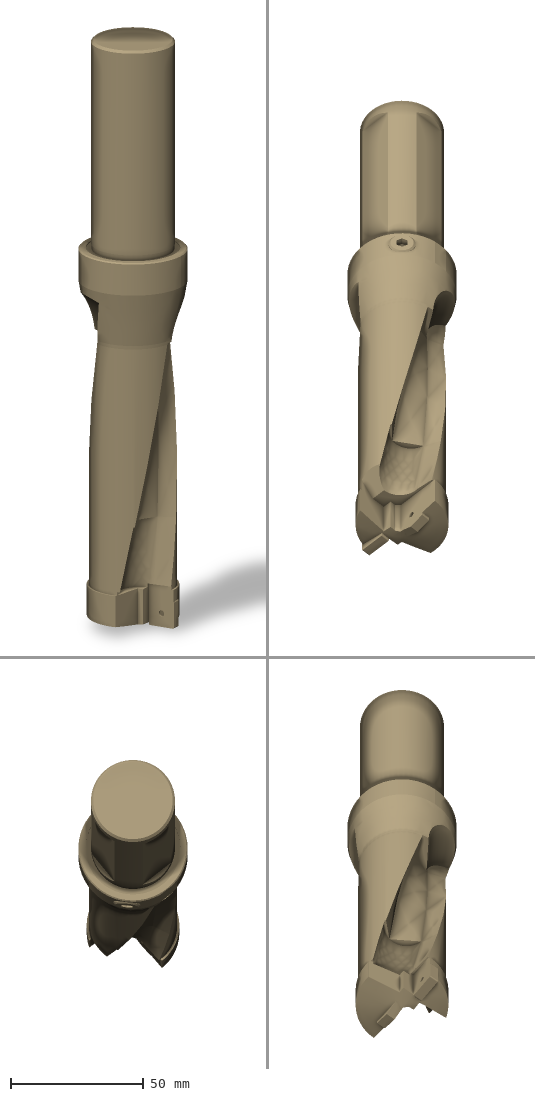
import cadquery as cq
import math


total_length = 232.0
shank_diameter = 31.8
shank_chamfer = 1.0
undercut_diameter = 31.3
undercut_height = 1.6
shank_flat_distance = 14.5
shank_flat_bottom = 156.0
shank_flat_top = 225.3

collar_diameter = 41.3
collar_top = 149.6
collar_bottom = 136.9
collar_chamfer = 0.5
collar_recess_diameter = 35.7
collar_recess_depth = 0.5
collar_flat_depth = 0.2
cone_bottom = 115.8
cone_bottom_diameter = 33.6

body_diameter = 33.5
body_top = 114.4
head_diameter = 35.0
head_top = 16.7
head_rim = 4.5
head_apex = 1.5

flute_count = 2
flute_spacing = 360.0 / flute_count
twist_rate = 0.6897
wall_edge_angle = 245.0
wall_corner_angle = 239.7
wall_corner_radius = 9.7
floor_corner_angle = 158.6
floor_corner_radius = 8.8
floor_middle_radius = 7.0
side_edge_angle = 170.0
wall_reach = 3.2
side_reach = 1.3
milled_reach = 1.1
milled_flute_top = 44.0
flute_runout_top = 139.2
runout_radius = 21.3
runout_angle = 236.0
runout_start = 114.8
runout_floor_radius = 9.3

outer_pocket_top = 18.0
outer_pocket_mouth_x = 2.0
outer_pocket_mouth_y = -17.2
outer_pocket_ledge_x = 4.6
outer_pocket_ledge_y = -4.6
centre_pocket_web_x = 2.0
centre_pocket_bevel_y = 1.6
centre_pocket_web_y = 4.0
centre_pocket_back_x = 5.8
centre_pocket_slope_y = 9.7

insert_thickness = 3.7
outer_insert_left = 7.0
outer_insert_right = 17.6
outer_insert_bottom = 1.5
outer_insert_top = 12.0
outer_insert_corner_radius = 0.5
centre_insert_left = -10.7
centre_insert_right = 0.7
centre_insert_tip_x = -4.6
centre_insert_shoulder = 1.9
centre_insert_top = 11.4
screw_head_diameter = 4.5
screw_shank_diameter = 3.0
screw_head_height = 1.5
screw_socket_diameter = 2.3
screw_socket_depth = 1.0
screw_length = 8.4

plug_angle = 135.0
plug_diameter = 10.2
plug_outer_distance = 21.0
plug_depth = 5.8
plug_chamfer = 0.7
plug_socket_size = 4.2
plug_socket_depth = 2.8

clear = 46.5
outer_insert_middle = (
    (outer_insert_left + outer_insert_right) / 2,
    (outer_insert_bottom + outer_insert_top) / 2,
)
centre_insert_middle = (
    (centre_insert_left + centre_insert_right) / 2,
    (centre_insert_shoulder + centre_insert_top) / 2,
)


def polar(radius, angle):
    """Plan point at a radius and an angle in degrees."""
    return (radius * math.cos(math.radians(angle)), radius * math.sin(math.radians(angle)))


def stretched(start, end, factor):
    """Point on the line from start through end, at a multiple of their distance."""
    return tuple(a + factor * (b - a) for a, b in zip(start, end))


def prism_along_y(points, y_start, y_end):
    """Prism of an X-Z outline between two Y positions."""
    outline = cq.Workplane("XZ", origin=(0, y_start, 0)).polyline(points).close()
    return outline.extrude(y_start - y_end)


def turned_blank():
    shank_r = shank_diameter / 2
    undercut_r = undercut_diameter / 2
    recess_r = collar_recess_diameter / 2
    collar_r = collar_diameter / 2
    head_r = head_diameter / 2
    body_r = body_diameter / 2
    profile = [
        (0, head_apex),
        (head_r, head_rim),
        (head_r, head_top),
        (body_r, head_top),
        (body_r, body_top),
        (cone_bottom_diameter / 2, cone_bottom),
        (collar_r, collar_bottom),
        (collar_r, collar_top - collar_chamfer),
        (collar_r - collar_chamfer, collar_top),
        (recess_r, collar_top),
        (recess_r, collar_top - collar_recess_depth),
        (undercut_r, collar_top - collar_recess_depth),
        (undercut_r, collar_top + undercut_height),
        (shank_r, collar_top + undercut_height),
        (shank_r, total_length - shank_chamfer),
        (shank_r - shank_chamfer, total_length),
        (0, total_length),
    ]
    return cq.Workplane("XZ").polyline(profile).close().revolve(360, (0, 0, 0), (0, 1, 0))


def shank_flat(angle):
    depth = shank_diameter / 2 - shank_flat_distance
    outline = [
        (shank_flat_distance, shank_flat_bottom),
        (shank_flat_distance, shank_flat_top),
        (shank_flat_distance + 2 * depth, shank_flat_top + 2 * depth),
        (shank_flat_distance + 2 * depth, shank_flat_bottom - 2 * depth),
    ]
    return prism_along_y(outline, -shank_diameter / 2, shank_diameter / 2).rotate(
        (0, 0, 0), (0, 0, 1), angle
    )


def collar_flat():
    height = collar_top - collar_bottom
    flat_x = collar_flat_depth - collar_diameter / 2
    return (
        cq.Workplane("XY", origin=(flat_x - clear / 2, 0, collar_bottom))
        .box(clear, clear, height, centered=(True, True, False))
    )


wall_corner = polar(wall_corner_radius, wall_corner_angle)
floor_corner = polar(floor_corner_radius, floor_corner_angle)
wall_end = stretched(wall_corner, polar(body_diameter / 2, wall_edge_angle), wall_reach)
side_edge = polar(body_diameter / 2, side_edge_angle)
side_end = stretched(floor_corner, side_edge, side_reach)
milled_end = stretched(floor_corner, side_edge, milled_reach)
flute_outer_corner = polar(clear, (wall_edge_angle + side_edge_angle) / 2)


def helical_section(outline, bottom, top):
    """Flute outline, given at body_top, twisted along the drill between two heights."""
    height = top - bottom
    return (
        outline.twistExtrude(height, twist_rate * height)
        .rotate((0, 0, 0), (0, 0, 1), twist_rate * (bottom - body_top))
        .translate((0, 0, bottom))
    )


def milled_outline():
    """Wall and a single arc for floor and far side, closed outside the body."""
    outline = cq.Workplane("XY").moveTo(*wall_end).lineTo(*wall_corner)
    outline = outline.threePointArc(floor_corner, milled_end)
    return outline.lineTo(*flute_outer_corner).close()


def cornered_outline():
    """Wall, concave floor and flat far side, closed outside the body."""
    floor_middle = polar(floor_middle_radius, (wall_corner_angle + floor_corner_angle) / 2)
    outline = cq.Workplane("XY").moveTo(*wall_end).lineTo(*wall_corner)
    outline = outline.threePointArc(floor_middle, floor_corner)
    return outline.lineTo(*side_end).lineTo(*flute_outer_corner).close()


def flute_runout():
    """Round cutter that lifts the flute floor out through the cone."""
    return (
        cq.Workplane("XZ", origin=(0, clear, 0))
        .center(runout_floor_radius + runout_radius, runout_start)
        .circle(runout_radius)
        .extrude(2 * clear)
        .rotate((0, 0, 0), (0, 0, 1), runout_angle)
    )


def flute_cutters():
    milled = helical_section(milled_outline(), head_top, milled_flute_top)
    middle = helical_section(cornered_outline(), milled_flute_top, runout_start)
    upper = helical_section(cornered_outline(), runout_start, flute_runout_top)
    return milled, middle, upper.intersect(flute_runout())


def outer_pocket():
    outline = [
        (outer_pocket_mouth_x, -clear),
        (outer_pocket_mouth_x, outer_pocket_mouth_y),
        (outer_pocket_ledge_x, outer_pocket_ledge_y),
        (outer_insert_left, outer_pocket_ledge_y),
        (outer_insert_left, 0),
        (clear, 0),
        (clear, -clear),
    ]
    return cq.Workplane("XY").polyline(outline).close().extrude(outer_pocket_top)


def centre_pocket():
    web_outline = [
        (-clear, 0),
        (centre_insert_right, 0),
        (centre_pocket_web_x, centre_pocket_bevel_y),
        (centre_pocket_web_x, centre_pocket_web_y),
        (-clear, centre_pocket_web_y),
    ]
    web = cq.Workplane("XY").polyline(web_outline).close().extrude(head_top)
    rise = clear - centre_pocket_slope_y
    outline = [
        (centre_pocket_web_y, 0),
        (clear, 0),
        (clear, head_top + rise),
        (centre_pocket_slope_y, head_top),
        (centre_pocket_web_y, head_top),
    ]
    back = cq.Workplane("YZ", origin=(centre_pocket_back_x, 0, 0)).polyline(outline).close()
    return web.union(back.extrude(-clear))


def outer_insert_blank():
    outline = [
        (outer_insert_left, outer_insert_bottom),
        (outer_insert_right, outer_insert_bottom),
        (outer_insert_right, outer_insert_top),
        (outer_insert_left, outer_insert_top),
    ]
    return prism_along_y(outline, 0, insert_thickness).edges("|Y").fillet(outer_insert_corner_radius)


def centre_insert_blank():
    outline = [
        (centre_insert_left, centre_insert_shoulder),
        (centre_insert_tip_x, 0),
        (centre_insert_right, centre_insert_shoulder),
        (centre_insert_right, centre_insert_top),
        (centre_insert_left, centre_insert_top),
    ]
    return prism_along_y(outline, 0, -insert_thickness)


def screw_blank(middle, direction):
    """Countersunk screw with its head flush in the y = 0 plane, pointing along +Y or -Y."""
    x, z = middle
    head_r = screw_head_diameter / 2
    shank_r = screw_shank_diameter / 2
    profile = [
        (0, 0),
        (head_r, 0),
        (shank_r, direction * screw_head_height),
        (shank_r, direction * screw_length),
        (0, direction * screw_length),
    ]
    screw = cq.Workplane("XY").polyline(profile).close().revolve(360, (0, 0, 0), (0, 1, 0))
    return screw.translate((x, 0, z))


def insert_screw(middle, direction):
    x, z = middle
    socket = (
        cq.Workplane("XZ", origin=(x, 0, z))
        .circle(screw_socket_diameter / 2)
        .extrude(-direction * screw_socket_depth)
    )
    return screw_blank(middle, direction).cut(socket)


plug_plane = cq.Plane(
    origin=(*polar(plug_outer_distance, plug_angle), (collar_top + collar_bottom) / 2),
    xDir=(0, 0, 1),
    normal=(*polar(1, plug_angle), 0),
)


def plug_blank():
    return (
        cq.Workplane(plug_plane)
        .circle(plug_diameter / 2)
        .extrude(-plug_depth)
        .faces(cq.selectors.DirectionMinMaxSelector(plug_plane.zDir, True))
        .chamfer(plug_chamfer)
    )


def coolant_plug():
    corner_diameter = plug_socket_size / math.cos(math.radians(30))
    socket = cq.Workplane(plug_plane).polygon(6, corner_diameter).extrude(-plug_socket_depth)
    return plug_blank().cut(socket)


outer_screw_blank = screw_blank(outer_insert_middle, 1)
centre_screw_blank = screw_blank(centre_insert_middle, -1)

holder = turned_blank().cut(collar_flat())
for flat_angle in (90, 180):
    holder = holder.cut(shank_flat(flat_angle))
for index in range(flute_count):
    for cutter in flute_cutters():
        holder = holder.cut(cutter.rotate((0, 0, 0), (0, 0, 1), index * flute_spacing))
holder = holder.cut(outer_pocket()).cut(centre_pocket())
for screw_seat in (outer_screw_blank, centre_screw_blank):
    holder = holder.cut(screw_seat)
for seat in (outer_insert_blank(), centre_insert_blank(), plug_blank()):
    holder = holder.cut(seat)

outer_insert = outer_insert_blank().cut(outer_screw_blank)
centre_insert = centre_insert_blank().cut(centre_screw_blank)
screws = [insert_screw(outer_insert_middle, 1), insert_screw(centre_insert_middle, -1)]
plug = coolant_plug()

result = cq.Compound.makeCompound(
    [
        holder.val(),
        outer_insert.val(),
        centre_insert.val(),
        *[screw.val() for screw in screws],
        plug.val(),
    ]
)